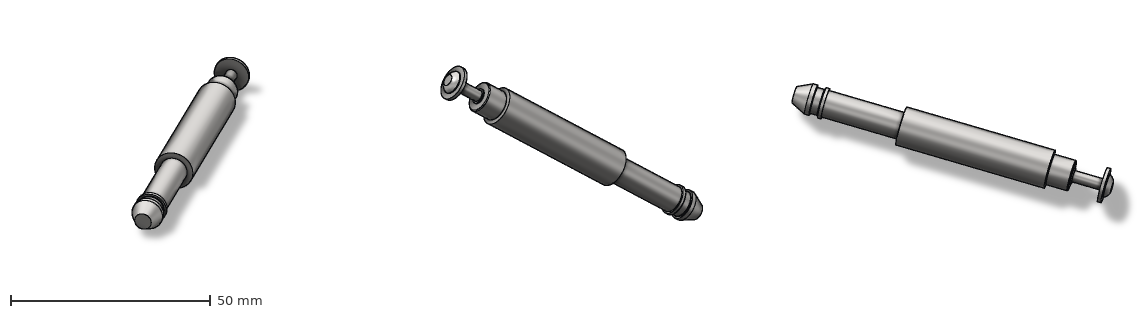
import cadquery as cq

total_length = 83.25
nose_end = -total_length / 2
button_end = total_length / 2

dome_diameter = 6.0
dome_height = 1.6
dome_top_diameter = 3.0
dome_mid_diameter = 4.9
dome_mid_depth = 0.6
dome_base_height = 0.25
flange_diameter = 9.0
flange_thickness = 0.9

stem_diameter = 3.0
guide_lip_diameter = 4.0
guide_lip_height = 0.3
guide_diameter = 8.0
guide_length = 5.9
guide_chamfer = 0.25
barrel_diameter = 10.0
barrel_length = 38.9
barrel_front = nose_end + 28.05
barrel_back = barrel_front + barrel_length
guide_end = barrel_back + guide_length

rod_diameter = 7.0
ring_diameter = 8.0
ring_width = 0.9
ring_start = nose_end + 7.25
nose_tip_diameter = 4.3
nose_taper_length = 3.8
nose_rim_width = 1.2
groove_diameter = 6.8
groove_length = 1.8
groove_shoulder = 0.25


def cylinder(diameter, start, end):
    """Solid cylinder along Y between two positions."""
    disc = cq.Workplane("XZ", origin=(0, start, 0)).circle(diameter / 2)
    return disc.extrude(start - end)


def make_nose():
    """Blunt cone that widens to a short cylindrical rim."""
    taper_end = nose_end + nose_taper_length
    rim_end = taper_end + nose_rim_width
    return (
        cq.Workplane("XY")
        .moveTo(0, nose_end)
        .lineTo(nose_tip_diameter / 2, nose_end)
        .lineTo(ring_diameter / 2, taper_end)
        .lineTo(ring_diameter / 2, rim_end)
        .lineTo(0, rim_end)
        .close()
        .revolve(360, (0, 0, 0), (0, 1, 0))
    )


def make_button():
    """Flat flange capped by a rounded dome with a flat top and a short straight base."""
    flange_back = button_end - dome_height
    flange_front = flange_back - flange_thickness
    dome_base_radius = dome_diameter / 2
    dome_edge = flange_back + dome_base_height
    dome_mid = (dome_mid_diameter / 2, button_end - dome_mid_depth)
    return (
        cq.Workplane("XY")
        .moveTo(0, flange_front)
        .lineTo(flange_diameter / 2, flange_front)
        .lineTo(flange_diameter / 2, flange_back)
        .lineTo(dome_base_radius, flange_back)
        .lineTo(dome_base_radius, dome_edge)
        .threePointArc(dome_mid, (dome_top_diameter / 2, button_end))
        .lineTo(0, button_end)
        .close()
        .revolve(360, (0, 0, 0), (0, 1, 0))
    )


def make_guide():
    """Guide collar chamfered at both ends, with a small lip around the stem."""
    collar = cylinder(guide_diameter, barrel_back, guide_end).faces("|Y").chamfer(guide_chamfer)
    return collar.union(cylinder(guide_lip_diameter, barrel_back, guide_end + guide_lip_height))


def make_rod():
    """Front rod with a shallow groove just ahead of the retaining ring."""
    groove_end = ring_start - groove_shoulder
    groove_start = groove_end - groove_length
    return (
        cylinder(rod_diameter, nose_end + nose_taper_length, groove_start)
        .union(cylinder(groove_diameter, groove_start, groove_end))
        .union(cylinder(rod_diameter, groove_end, barrel_front))
    )


result = (
    make_nose()
    .union(make_rod())
    .union(cylinder(ring_diameter, ring_start, ring_start + ring_width))
    .union(cylinder(barrel_diameter, barrel_front, barrel_back))
    .union(make_guide())
    .union(cylinder(stem_diameter, guide_end, button_end - dome_height))
    .union(make_button())
)